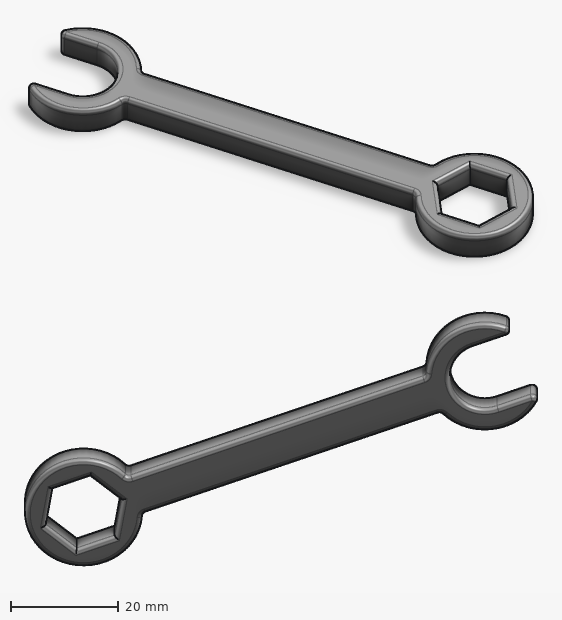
import cadquery as cq
import math

length = 98.6
thickness = 6.0
head_diameter = 22.0
jaw_opening = 13.0
shank_width = 8.0
neck_radius = 1.0
edge_radius = 1.0

head_radius = head_diameter / 2
tip_center_y = jaw_opening / 2 + edge_radius
jaw_center_x = edge_radius + math.sqrt((head_radius - edge_radius) ** 2 - tip_center_y**2)
ring_center_x = length - head_radius
hex_corner_diameter = jaw_opening / math.cos(math.pi / 6)


def disc(center_x, radius):
    """Full-thickness disc resting on Z = 0."""
    return cq.Workplane("XY").center(center_x, 0).circle(radius).extrude(thickness)


def block(start_x, end_x, width):
    """Full-thickness bar along X, centered on Y = 0."""
    return cq.Workplane("XY").box(
        end_x - start_x, width, thickness, centered=(False, True, False)
    ).translate((start_x, 0, 0))


def solid_blank():
    """Two round heads joined by the shank, with rounded necks."""
    shank = block(jaw_center_x, ring_center_x, shank_width)
    blank = shank.union(disc(jaw_center_x, head_radius)).union(disc(ring_center_x, head_radius))
    neck_offset = math.sqrt(head_radius**2 - (shank_width / 2) ** 2)
    for neck_x in (jaw_center_x + neck_offset, ring_center_x - neck_offset):
        for neck_y in (-shank_width / 2, shank_width / 2):
            corner = cq.selectors.NearestToPointSelector((neck_x, neck_y, thickness / 2))
            blank = blank.edges("|Z").edges(corner).fillet(neck_radius)
    return blank


def open_jaw():
    """Round-bottomed slot running out through the head."""
    slot = block(jaw_center_x - head_radius, jaw_center_x, jaw_opening)
    return slot.union(disc(jaw_center_x, jaw_opening / 2))


def hex_hole():
    """Hexagonal opening with two corners along X."""
    return cq.Workplane("XY").center(ring_center_x, 0).polygon(6, hex_corner_diameter).extrude(thickness)


wrench = solid_blank().cut(open_jaw()).cut(hex_hole())
wrench = wrench.edges("|Z").edges("<X").fillet(edge_radius)
result = wrench.faces("<Z or >Z").edges().fillet(edge_radius)